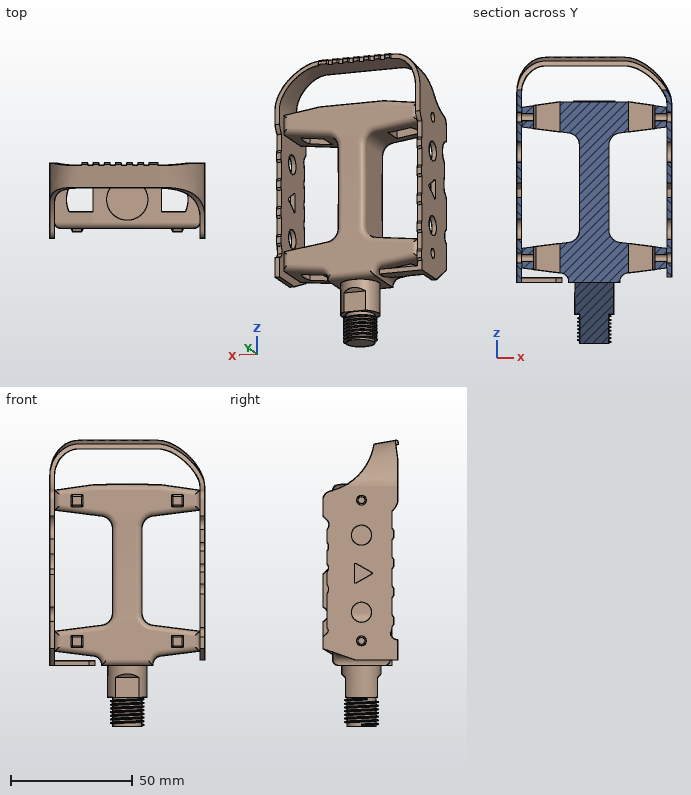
import cadquery as cq
import math

CAGE_WIDTH = 64.0
HALF_WIDTH = CAGE_WIDTH / 2
SHEET = 2.0
SPAN = HALF_WIDTH - SHEET
BODY_BOTTOM = 25.2

FRAME_TOP = 99.8
FRAME_HALF_DEPTH = 12.0
EDGE_ROUND = 2.5
SHOULDER_X = 14.2
TIP_UPPER_TOP = 97.6
TIP_UPPER_BOTTOM = 89.3
TIP_LOWER_TOP = 39.4
TIP_LOWER_BOTTOM = 31.1
ARM_SLOPE = math.radians(7.2)
COLUMN_HALF_WIDTH = 6.2
COLUMN_ROUND = 5.0
FOOT_HALF_WIDTH = 10.6
FOOT_ROUND_X = 13.6
FOOT_ROUND = 3.5
HOLLOW_TOP = 85.4
HOLLOW_BOTTOM = 42.8
HOLLOW_DEPTH = 0.5
EDGE_TOLERANCE = 0.1

POCKET_HALF_DEPTH = 5.0
POCKET_CORNER_X = 24.0
POCKET_END_X = 25.1

SCREW_Z = (93.5, 35.4)
SCREW_RADIUS = 1.4
SCREW_CLEARANCE_RADIUS = 2.0

PEG_X = 20.7
PEG_DROP = 0.2
PEG_SIZE = 3.7
PEG_HEIGHT = 1.4
PEG_ROOT = 1.2
PEG_TAPER = 26

CAP_RADIUS = 8.5
CAP_HEIGHT = 0.4

SPINDLE_RADIUS = 8.2
COLLAR_BOTTOM = 12.1
FLAT_HALF_WIDTH = 6.6
FLAT_TOP = 20.2
THREAD_ROOT_RADIUS = 6.0
THREAD_CREST_RADIUS = 7.0
THREAD_TURNS = 8
THREAD_PITCH = COLLAR_BOTTOM / THREAD_TURNS
THREAD_BASE = 1.0
THREAD_START = 0.7
THREAD_TIP = 0.2
THREAD_ROOT_OVERLAP = 0.2

CAGE_TOP = 118.3
CAGE_FRONT = -16.0
CAGE_BACK = 15.4
HEAD_BACK = 15.0
HOOP_BACK = 14.0
HOOP_FRONT = 5.1
HOOP_TILT = math.radians(10)
HOOP_SLOPE = math.tan(HOOP_TILT)
PLATE_BACK = 12.7
HEAD_START = 88.8
LEFT_BEND_X = -20.1
LEFT_BEND_Z = 103.6
RIGHT_BEND_X = 12.8
RIGHT_BEND_Z = 99.1
LEFT_BEND_HANDLE = 0.55
RIGHT_BEND_HANDLE = 0.42

HEAD_START_MIDDLE = (14.0, 90.4)
HEAD_STRAIGHT_BOTTOM = 92.6
HEAD_STRAIGHT_TOP = 110.4
SCOOP_START = (HOOP_FRONT, 116.4)
SCOOP_MIDDLE = (-1.4, 103.6)
SCOOP_END = (-13.4, 97.1)
FRONT_CORNER_MIDDLE = (-15.3, 95.7)
FRONT_CORNER_END = (CAGE_FRONT, 92.9)
UPPER_FRONT_BOTTOM = (CAGE_FRONT, 87.0)
CHAMFER_START = (CAGE_FRONT, 32.2)

LEFT_RECESS = -13.7
LEFT_SCALLOP_MIDDLE = (-11.4, 81.5)
LEFT_SCALLOP_BOTTOM = 77.5
LEFT_HOLLOW_TOP = 71.2
LEFT_HOLLOW_MIDDLE = (-13.0, 68.0)
LEFT_HOLLOW_BOTTOM = (-13.8, 65.0)
LEFT_RAMP_END = (CAGE_FRONT, 62.8)
LEFT_NOTCH_TOP = (CAGE_FRONT, 49.3)
LEFT_NOTCH_MIDDLE = (-14.0, 46.3)
LEFT_NOTCH_BOTTOM = (CAGE_FRONT, 43.3)
LEFT_CHAMFER_END = (-4.4, BODY_BOTTOM)

RIGHT_RECESS = -14.3
RIGHT_NOTCH_DEPTH = 0.7
RIGHT_NOTCHES = ((76.0, 72.5), (67.1, 63.8), (58.8, 54.8))
RIGHT_RAMP_END = (-14.0, 84.9)
RIGHT_FIRST_NOTCH_MIDDLE = (-13.5, 83.4)
RIGHT_FIRST_NOTCH_BOTTOM = 81.3
RIGHT_LAST_NOTCH_TOP = 40.8
RIGHT_LAST_NOTCH_MIDDLE = (-13.7, 39.9)
RIGHT_LAST_NOTCH_BOTTOM = (-14.1, 38.7)
RIGHT_LOWER_FRONT_TOP = (CAGE_FRONT, 36.9)
RIGHT_BOTTOM = 27.5
RIGHT_CHAMFER_END = (-2.4, RIGHT_BOTTOM)
HEEL_TOP = (HEAD_BACK, 35.8)
HEEL_ARC_MIDDLE = (13.5, 36.3)
HEEL_ARC_END = (12.1, 38.1)
HEEL_RECESS_TOP = 41.3

BUMP_FIRST_Z = 31.7
BUMP_PITCH = 12.0
BUMP_COUNT = 5
BUMP_HEIGHT = 0.7
BUMP_BASE = 5.0
BUMP_FLAT = 2.8

HOLE_Z = (79.0, 47.2)
HOLE_RADIUS = 4.1
TRIANGLE_Z = 63.3
TRIANGLE_POINT_Y = 4.8
TRIANGLE_BASE_Y = -2.8
TRIANGLE_HALF_HEIGHT = 4.4
TRIANGLE_ROUND = 0.4

GRIP_FIRST_X = -17.5
GRIP_PITCH = 4.6
GRIP_COUNT = 7
GRIP_BASE = 3.0
GRIP_FLAT = 2.1
GRIP_BEVEL_Y = 14.5

LUG_END_X = -13.2
LUG_FRONT = 5.6
LUG_CORNER = 2.6


def make_frame_blank():
    """The I-shaped frame with a shallow hollow in both faces of its column."""
    inner_x = COLUMN_HALF_WIDTH + COLUMN_ROUND * (1 - math.sin(ARM_SLOPE))
    drop = (SPAN - inner_x) * math.tan(ARM_SLOPE)
    rise = COLUMN_ROUND * math.cos(ARM_SLOPE)
    upper = TIP_UPPER_BOTTOM - drop
    lower = TIP_LOWER_TOP + drop
    foot_z = TIP_LOWER_BOTTOM - (SPAN - FOOT_ROUND_X) * math.tan(ARM_SLOPE)
    blank = (
        cq.Workplane("XZ")
        .moveTo(0, FRAME_TOP)
        .lineTo(SHOULDER_X, FRAME_TOP)
        .lineTo(SPAN, TIP_UPPER_TOP)
        .lineTo(SPAN, TIP_UPPER_BOTTOM)
        .lineTo(inner_x, upper)
        .radiusArc((COLUMN_HALF_WIDTH, upper - rise), -COLUMN_ROUND)
        .lineTo(COLUMN_HALF_WIDTH, lower + rise)
        .radiusArc((inner_x, lower), -COLUMN_ROUND)
        .lineTo(SPAN, TIP_LOWER_TOP)
        .lineTo(SPAN, TIP_LOWER_BOTTOM)
        .lineTo(FOOT_ROUND_X, foot_z)
        .radiusArc((FOOT_HALF_WIDTH, BODY_BOTTOM), -FOOT_ROUND)
        .lineTo(0, BODY_BOTTOM)
        .mirrorY()
        .extrude(FRAME_HALF_DEPTH, both=True)
    )
    middle = (HOLLOW_TOP + HOLLOW_BOTTOM) / 2
    for side in (-1, 1):
        face_y = side * FRAME_HALF_DEPTH
        hollow = (
            cq.Workplane("YZ")
            .moveTo(face_y, HOLLOW_TOP)
            .threePointArc((face_y - side * HOLLOW_DEPTH, middle), (face_y, HOLLOW_BOTTOM))
            .close()
            .extrude(SPAN, both=True)
        )
        blank = blank.cut(hollow)
    return blank


def is_hollow_crease(edge):
    """True for the straight edges across the column where its hollows begin and end."""
    middle = edge.Center()
    at_crease = min(abs(middle.z - HOLLOW_TOP), abs(middle.z - HOLLOW_BOTTOM)) < EDGE_TOLERANCE
    return edge.geomType() == "LINE" and at_crease and abs(middle.x) < EDGE_TOLERANCE


def round_frame_edges(blank):
    """Round every edge of both big faces except the creases where the hollows begin."""
    rounded = [edge for edge in blank.edges("not |Y").vals() if not is_hollow_crease(edge)]
    return blank.newObject(rounded).fillet(EDGE_ROUND)


def make_pockets():
    """Windows with a bulged outer end that pass through both arms along Z."""
    pocket = (
        cq.Workplane("XY")
        .moveTo(SHOULDER_X, -POCKET_HALF_DEPTH)
        .lineTo(POCKET_CORNER_X, -POCKET_HALF_DEPTH)
        .threePointArc((POCKET_END_X, 0), (POCKET_CORNER_X, POCKET_HALF_DEPTH))
        .lineTo(SHOULDER_X, POCKET_HALF_DEPTH)
        .close()
        .extrude(CAGE_TOP)
    )
    return pocket.union(pocket.mirror("YZ"))


def make_screw_holes(radius, start_x, end_x):
    """Mirrored pairs of holes along X at the end of each arm."""
    holes = (
        cq.Workplane("YZ", origin=(start_x, 0, 0))
        .pushPoints([(0, z) for z in SCREW_Z])
        .circle(radius)
        .extrude(end_x - start_x)
    )
    return holes.union(holes.mirror("YZ"))


def make_pegs():
    """Four tapered square grip pegs on the front of the arms."""
    return (
        cq.Workplane("XZ", origin=(0, -FRAME_HALF_DEPTH - PEG_HEIGHT, 0))
        .pushPoints([(side * PEG_X, z - PEG_DROP) for side in (-1, 1) for z in SCREW_Z])
        .rect(PEG_SIZE, PEG_SIZE)
        .extrude(-(PEG_HEIGHT + PEG_ROOT), taper=-PEG_TAPER)
    )


def make_frame():
    """Frame with pockets, screw holes and grip pegs."""
    frame = round_frame_edges(make_frame_blank())
    frame = frame.cut(make_pockets())
    frame = frame.cut(make_screw_holes(SCREW_RADIUS, POCKET_CORNER_X, SPAN))
    return frame.union(make_pegs())


def make_cap():
    """Round cap on top of the frame."""
    return cq.Workplane("XY", origin=(0, 0, FRAME_TOP)).circle(CAP_RADIUS).extrude(CAP_HEIGHT)


def make_thread():
    """Right-handed helical ridge from just above the tip to just below the collar."""
    ridge_root = THREAD_ROOT_RADIUS - THREAD_ROOT_OVERLAP
    helix = cq.Wire.makeHelix(THREAD_PITCH, COLLAR_BOTTOM - 2 * THREAD_START, ridge_root)
    profile = (
        cq.Workplane("XZ")
        .moveTo(ridge_root, -THREAD_BASE / 2)
        .lineTo(THREAD_CREST_RADIUS, -THREAD_TIP / 2)
        .lineTo(THREAD_CREST_RADIUS, THREAD_TIP / 2)
        .lineTo(ridge_root, THREAD_BASE / 2)
        .close()
    )
    ridge = profile.sweep(cq.Workplane(obj=helix), isFrenet=True)
    return ridge.translate((0, 0, THREAD_START))


def make_spindle():
    """Threaded spindle with a collar and two wrench flats, seated on the bottom of the frame."""
    collar_length = BODY_BOTTOM - COLLAR_BOTTOM
    spindle = (
        cq.Workplane("XY")
        .circle(THREAD_ROOT_RADIUS)
        .extrude(COLLAR_BOTTOM)
        .union(make_thread())
    )
    collar = cq.Workplane("XY", origin=(0, 0, COLLAR_BOTTOM)).circle(SPINDLE_RADIUS).extrude(collar_length)
    spindle = spindle.union(collar)
    ramp = SPINDLE_RADIUS - FLAT_HALF_WIDTH
    flat = (
        cq.Workplane("YZ")
        .moveTo(FLAT_HALF_WIDTH, COLLAR_BOTTOM)
        .lineTo(FLAT_HALF_WIDTH, FLAT_TOP)
        .lineTo(SPINDLE_RADIUS, FLAT_TOP + ramp)
        .lineTo(SPINDLE_RADIUS, COLLAR_BOTTOM)
        .close()
        .extrude(SPINDLE_RADIUS, both=True)
    )
    return spindle.cut(flat).cut(flat.mirror("XZ"))


def hoop_section(y, inset):
    """Closed arch outline across the cage at depth y, moved inward by inset."""
    side = HALF_WIDTH - inset
    top = CAGE_TOP - (GRIP_BEVEL_Y - y) * HOOP_SLOPE - inset
    left_run = (side + LEFT_BEND_X) * LEFT_BEND_HANDLE
    left_rise = (top - LEFT_BEND_Z) * LEFT_BEND_HANDLE
    right_run = (side - RIGHT_BEND_X) * RIGHT_BEND_HANDLE
    right_rise = (top - RIGHT_BEND_Z) * RIGHT_BEND_HANDLE
    return (
        cq.Workplane("XZ", origin=(0, y, 0))
        .moveTo(-side, BODY_BOTTOM)
        .lineTo(-side, LEFT_BEND_Z)
        .bezier(
            [(-side, LEFT_BEND_Z + left_rise), (LEFT_BEND_X - left_run, top), (LEFT_BEND_X, top)],
            includeCurrent=True,
        )
        .lineTo(RIGHT_BEND_X, top)
        .bezier(
            [(RIGHT_BEND_X + right_run, top), (side, RIGHT_BEND_Z + right_rise), (side, RIGHT_BEND_Z)],
            includeCurrent=True,
        )
        .lineTo(side, BODY_BOTTOM)
        .close()
        .wire()
        .val()
    )


def make_hoop_filling(inset):
    """Solid arch, ruled from front to back; two of them enclose the bent sheet."""
    sections = [hoop_section(y, inset) for y in (CAGE_FRONT, CAGE_BACK)]
    return cq.Workplane(obj=cq.Solid.makeLoft(sections, True))


def draw_head(sketch):
    """Upper part of a plate outline, from the start of the head at the back to the front edge."""
    return (
        sketch.lineTo(PLATE_BACK, HEAD_START)
        .threePointArc(HEAD_START_MIDDLE, (HEAD_BACK, HEAD_STRAIGHT_BOTTOM))
        .lineTo(HEAD_BACK, HEAD_STRAIGHT_TOP)
        .lineTo(HOOP_BACK, CAGE_TOP)
        .lineTo(HOOP_FRONT, CAGE_TOP)
        .lineTo(*SCOOP_START)
        .threePointArc(SCOOP_MIDDLE, SCOOP_END)
        .threePointArc(FRONT_CORNER_MIDDLE, FRONT_CORNER_END)
        .lineTo(*UPPER_FRONT_BOTTOM)
    )


def draw_left_plate():
    """Left plate outline: a deep scallop, a shallow hollow and one notch in the front edge."""
    sketch = draw_head(cq.Workplane("YZ").moveTo(PLATE_BACK, BODY_BOTTOM))
    return (
        sketch.threePointArc(LEFT_SCALLOP_MIDDLE, (LEFT_RECESS, LEFT_SCALLOP_BOTTOM))
        .lineTo(LEFT_RECESS, LEFT_HOLLOW_TOP)
        .threePointArc(LEFT_HOLLOW_MIDDLE, LEFT_HOLLOW_BOTTOM)
        .lineTo(*LEFT_RAMP_END)
        .lineTo(*LEFT_NOTCH_TOP)
        .threePointArc(LEFT_NOTCH_MIDDLE, LEFT_NOTCH_BOTTOM)
        .lineTo(*CHAMFER_START)
        .lineTo(*LEFT_CHAMFER_END)
        .close()
    )


def draw_right_plate():
    """Right plate outline: a recessed, notched front edge and a heel at the bottom of the back."""
    sketch = (
        cq.Workplane("YZ")
        .moveTo(HEAD_BACK, RIGHT_BOTTOM)
        .lineTo(*HEEL_TOP)
        .threePointArc(HEEL_ARC_MIDDLE, HEEL_ARC_END)
        .lineTo(PLATE_BACK, HEEL_RECESS_TOP)
    )
    sketch = draw_head(sketch).lineTo(*RIGHT_RAMP_END)
    sketch = sketch.threePointArc(RIGHT_FIRST_NOTCH_MIDDLE, (RIGHT_RECESS, RIGHT_FIRST_NOTCH_BOTTOM))
    for top, bottom in RIGHT_NOTCHES:
        deepest = (RIGHT_RECESS + RIGHT_NOTCH_DEPTH, (top + bottom) / 2)
        sketch = sketch.lineTo(RIGHT_RECESS, top).threePointArc(deepest, (RIGHT_RECESS, bottom))
    return (
        sketch.lineTo(RIGHT_RECESS, RIGHT_LAST_NOTCH_TOP)
        .threePointArc(RIGHT_LAST_NOTCH_MIDDLE, RIGHT_LAST_NOTCH_BOTTOM)
        .lineTo(*RIGHT_LOWER_FRONT_TOP)
        .lineTo(*CHAMFER_START)
        .lineTo(*RIGHT_CHAMFER_END)
        .close()
    )


def make_bumps(direction):
    """Row of small trapezoid grip bumps along the back edge of one plate."""
    bumps = cq.Workplane("YZ")
    for index in range(BUMP_COUNT):
        z = BUMP_FIRST_Z + index * BUMP_PITCH
        bumps = (
            bumps.moveTo(PLATE_BACK, z - BUMP_BASE / 2)
            .lineTo(PLATE_BACK + BUMP_HEIGHT, z - BUMP_FLAT / 2)
            .lineTo(PLATE_BACK + BUMP_HEIGHT, z + BUMP_FLAT / 2)
            .lineTo(PLATE_BACK, z + BUMP_BASE / 2)
            .close()
        )
    return bumps.extrude(direction * HALF_WIDTH)


def make_grip_teeth():
    """Row of trapezoid teeth along the back edge of the hoop, square to its tilted top."""
    inner_z = CAGE_TOP - (GRIP_BEVEL_Y - HOOP_BACK) * HOOP_SLOPE - SHEET
    height = (CAGE_BACK - HOOP_BACK) / math.cos(HOOP_TILT)
    tilted = cq.Plane(
        origin=(0, HOOP_BACK, inner_z),
        xDir=(1, 0, 0),
        normal=(0, -math.sin(HOOP_TILT), math.cos(HOOP_TILT)),
    )
    teeth = cq.Workplane(tilted)
    for index in range(GRIP_COUNT):
        x = GRIP_FIRST_X + index * GRIP_PITCH
        teeth = (
            teeth.moveTo(x - GRIP_BASE / 2, 0)
            .lineTo(x - GRIP_FLAT / 2, height)
            .lineTo(x + GRIP_FLAT / 2, height)
            .lineTo(x + GRIP_BASE / 2, 0)
            .close()
        )
    teeth = teeth.extrude(2 * SHEET, both=True)
    last_x = GRIP_FIRST_X + (GRIP_COUNT - 1) * GRIP_PITCH
    square_end = cq.Workplane(tilted).moveTo(last_x, 0).lineTo(last_x, height)
    square_end = square_end.lineTo(RIGHT_BEND_X, height).lineTo(RIGHT_BEND_X, 0).close()
    bevel = (
        cq.Workplane("YZ")
        .moveTo(GRIP_BEVEL_Y, CAGE_TOP)
        .lineTo(CAGE_BACK, CAGE_TOP - (CAGE_BACK - GRIP_BEVEL_Y))
        .lineTo(CAGE_BACK, CAGE_TOP + SHEET)
        .lineTo(GRIP_BEVEL_Y, CAGE_TOP + SHEET)
        .close()
        .extrude(HALF_WIDTH, both=True)
    )
    return teeth.union(square_end.extrude(2 * SHEET, both=True)).cut(bevel)


def make_plate_openings():
    """Round and triangular windows that go through both plates."""
    rounds = (
        cq.Workplane("YZ")
        .pushPoints([(0, z) for z in HOLE_Z])
        .circle(HOLE_RADIUS)
        .extrude(HALF_WIDTH, both=True)
    )
    triangle = (
        cq.Workplane("YZ")
        .moveTo(TRIANGLE_POINT_Y, TRIANGLE_Z)
        .lineTo(TRIANGLE_BASE_Y, TRIANGLE_Z + TRIANGLE_HALF_HEIGHT)
        .lineTo(TRIANGLE_BASE_Y, TRIANGLE_Z - TRIANGLE_HALF_HEIGHT)
        .close()
        .extrude(HALF_WIDTH, both=True)
        .edges("|X")
        .fillet(TRIANGLE_ROUND)
    )
    return rounds.union(triangle).union(make_screw_holes(SCREW_CLEARANCE_RADIUS, SPAN, HALF_WIDTH))


def make_lug():
    """Foot bent inward at the bottom of the left plate."""
    return (
        cq.Workplane("XY", origin=(0, 0, BODY_BOTTOM))
        .moveTo(-SPAN, PLATE_BACK)
        .lineTo(LUG_END_X, PLATE_BACK)
        .lineTo(LUG_END_X, LUG_FRONT + LUG_CORNER)
        .lineTo(LUG_END_X - LUG_CORNER, LUG_FRONT)
        .lineTo(-SPAN, LUG_FRONT)
        .close()
        .extrude(SHEET)
    )


def make_cage():
    """Bent sheet cage: both side plates, the hoop over the top and the inward lug."""
    outline = draw_left_plate().extrude(-HALF_WIDTH).union(make_bumps(-1))
    outline = outline.union(draw_right_plate().extrude(HALF_WIDTH)).union(make_bumps(1))
    outline = outline.union(make_grip_teeth())
    band = make_hoop_filling(0).cut(make_hoop_filling(SHEET))
    return band.intersect(outline).cut(make_plate_openings()).union(make_lug())


frame = make_frame()
cap = make_cap()
spindle = make_spindle()
cage = make_cage()

bodies = [frame, cap, spindle, cage]
result = cq.Compound.makeCompound([body.solids().val() for body in bodies])